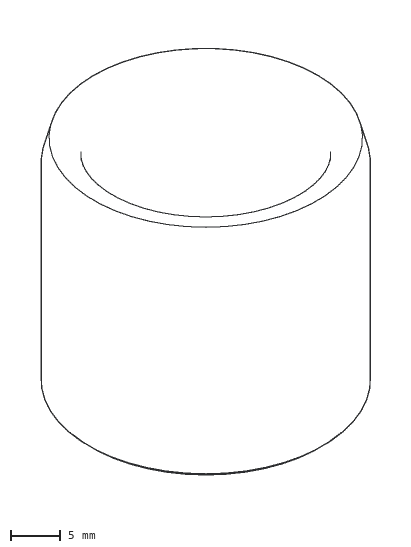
import cadquery as cq
import math

outer_diameter = 33.0
bore_diameter = 25.0
height = 30.0
lead_in_height = 3.0
lead_in_angle = 15.0
bottom_chamfer = 0.5
bore_mouth_radius = 2.0

outer_radius = outer_diameter / 2
bore_radius = bore_diameter / 2
top_radius = outer_radius - lead_in_height * math.tan(math.radians(lead_in_angle))
mouth_start = height - bore_mouth_radius
arc_offset = bore_mouth_radius * (1 - math.cos(math.radians(45)))

wall_section = (
    cq.Workplane("XZ")
    .moveTo(bore_radius, 0)
    .lineTo(outer_radius - bottom_chamfer, 0)
    .lineTo(outer_radius, bottom_chamfer)
    .lineTo(outer_radius, height - lead_in_height)
    .lineTo(top_radius, height)
    .lineTo(bore_radius + bore_mouth_radius, height)
    .threePointArc(
        (bore_radius + arc_offset, height - arc_offset),
        (bore_radius, mouth_start),
    )
    .close()
)

result = wall_section.revolve(360, (0, 0, 0), (0, 1, 0))